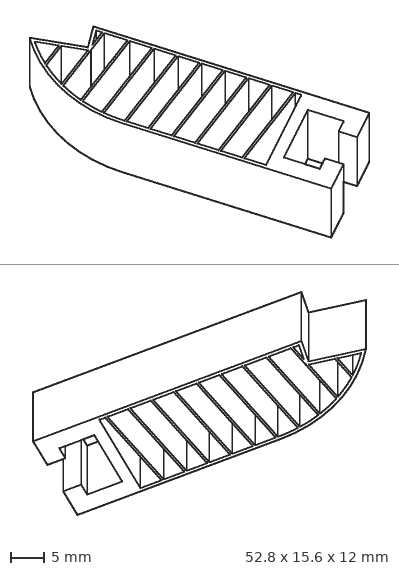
import cadquery as cq
import math

length = 52.8
width = 15.6
height = 12.0
wall = 0.6

tip_y = 10.05
nose_length = 18.95
nose_radius = (nose_length**2 + tip_y**2) / (2 * tip_y)
tilt = math.radians(10)
ledge_end_x = 8.8
ledge_end_y = tip_y + ledge_end_x * math.tan(tilt)

cavity_end = 42.05
rib_count = 10
rib_pitch = 3.8
first_rib_x = 4.1
rib_thickness = 0.35
rib_blank_length = 3 * width

slot_start = 44.0
slot_end = 49.8
slot_width = 9.75
mouth_width = 5.55


def body(end_x, inset):
    """Full-height body ending square at end_x, every other face moved inwards by inset."""
    along_x = math.cos(tilt)
    along_y = math.sin(tilt)
    radius = nose_radius - inset

    corner_x = ledge_end_x + inset * (along_x + along_y)
    corner_y = ledge_end_y + inset * (along_y - along_x)
    top_x = corner_x - (width - inset - corner_y) * math.tan(tilt)

    to_centre_x = nose_length - corner_x
    to_centre_y = nose_radius - corner_y
    centre_along = to_centre_x * along_x + to_centre_y * along_y
    centre_off = to_centre_y * along_x - to_centre_x * along_y
    reach = centre_along - math.sqrt(radius**2 - centre_off**2)
    tip = (corner_x + reach * along_x, corner_y + reach * along_y)

    middle_angle = math.asin((nose_length - tip[0]) / radius) / 2
    arc_middle = (
        nose_length - radius * math.sin(middle_angle),
        nose_radius - radius * math.cos(middle_angle),
    )
    return (
        cq.Workplane("XY")
        .moveTo(*tip)
        .threePointArc(arc_middle, (nose_length, inset))
        .lineTo(end_x, inset)
        .lineTo(end_x, width - inset)
        .lineTo(top_x, width - inset)
        .lineTo(corner_x, corner_y)
        .close()
        .extrude(height)
    )


def inner_floor_y(x):
    """Y of the inside of the lower wall at a given X."""
    from_tangent = max(nose_length - x, 0)
    return nose_radius - math.sqrt((nose_radius - wall)**2 - from_tangent**2)


def rib(foot_x):
    """Leaning rib through its foot on the lower wall, longer than the cavity is wide."""
    return (
        cq.Workplane("XY")
        .rect(rib_thickness, rib_blank_length)
        .extrude(height)
        .rotate((0, 0, 0), (0, 0, 1), -math.degrees(tilt))
        .translate((foot_x, inner_floor_y(foot_x), 0))
    )


def box_slot(start_x, end_x, across):
    """Full-height rectangular opening centred across the width."""
    return (
        cq.Workplane("XY")
        .center((start_x + end_x) / 2, width / 2)
        .rect(end_x - start_x, across)
        .extrude(height)
    )


cells = body(cavity_end, wall)
for index in range(rib_count):
    cells = cells.cut(rib(first_rib_x + index * rib_pitch))

result = body(length, 0).cut(cells)
result = result.cut(box_slot(slot_start, slot_end, slot_width))
result = result.cut(box_slot(slot_end, length, mouth_width))